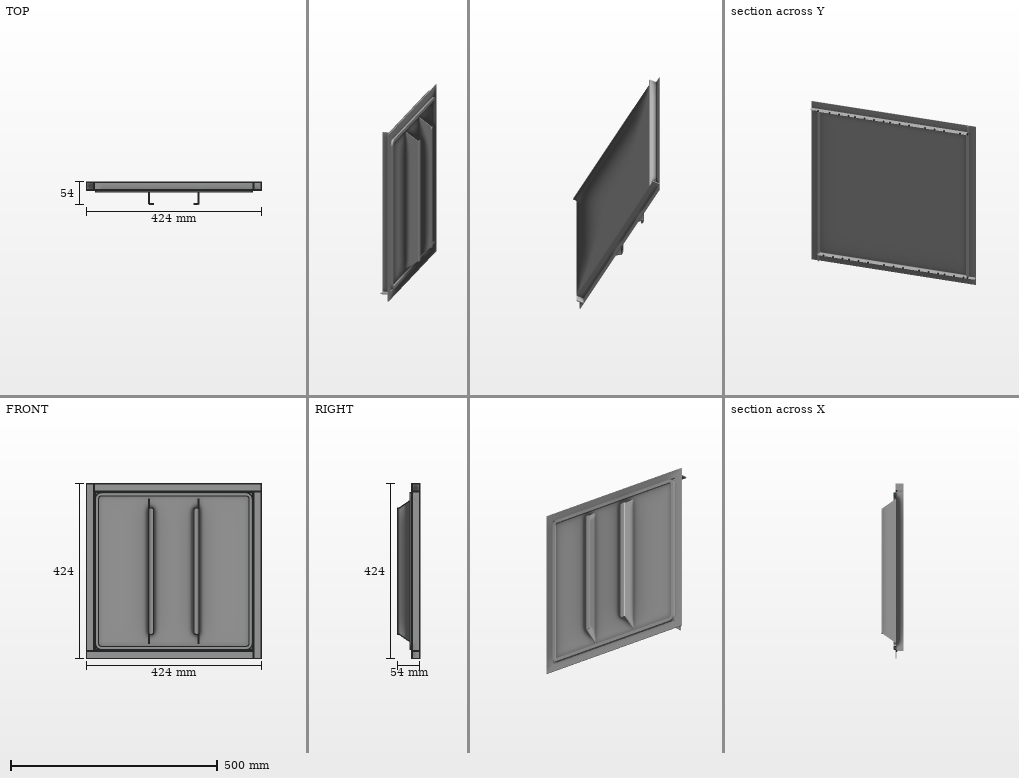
import cadquery as cq

outer_size = 424.0
overall_depth = 54.0
angle_leg = 20.0
flange_thickness = 2.0
leg_thickness = 2.35
relief_depth = 0.2

tray_clearance = 1.05
tray_bend_radius = 1.9
tray_thickness = 1.0
tray_setback = 1.0
back_thickness = 1.0

gasket_clearance = 2.0
gasket_width = 8.0
gasket_projection = 4.2
gasket_outer_radius = 15.0
gasket_inner_radius = 6.5

handle_spacing = 122.0
handle_base_length = 349.0
handle_lip_length = 306.0
handle_lip_width = 12.5
handle_thickness = 2.0
handle_bend_radius = 3.0
handle_end_depth = 4.0
lip_corner_radius = 5.0

half_outer = outer_size / 2
half_opening = half_outer - angle_leg
tray_face = tray_setback
gasket_face = -gasket_projection
handle_face = angle_leg - overall_depth
tray_back = angle_leg - back_thickness


def box(x0, x1, y0, y1, z0, z1):
    """Box between two opposite corners."""
    return cq.Workplane("XY").box(x1 - x0, y1 - y0, z1 - z0, centered=False).translate((x0, y0, z0))


def make_frame_angle():
    """Bottom angle: upright flange in front, leg running back along the opening.

    The right end of the leg is a tab that fits the slot in the left end of the next angle's leg.
    """
    leg_bottom = -half_opening - leg_thickness
    tab_end = half_opening + leg_thickness
    flange = box(-half_outer, half_opening, 0, flange_thickness, -half_outer, -half_opening)
    leg = box(-half_outer, tab_end, flange_thickness, angle_leg, leg_bottom, -half_opening)
    slot = box(leg_bottom, -half_opening, flange_thickness, angle_leg, leg_bottom, -half_opening)
    relief = box(-half_outer, -half_opening, 0, relief_depth, leg_bottom, -half_opening)
    return flange.union(leg).cut(slot).cut(relief)


def make_tray():
    """Folded sheet whose four flanges turn back inside the frame, with open corners."""
    edge = half_opening - tray_clearance
    outer = box(-edge, edge, tray_face, tray_back, -edge, edge)
    outer = outer.faces("<Y").edges().fillet(tray_bend_radius)
    inside = edge - tray_thickness
    hollow = box(-inside, inside, tray_face + tray_thickness, tray_back, -inside, inside)
    hollow = hollow.faces("<Y").edges().fillet(tray_bend_radius - tray_thickness)
    tray = outer.cut(hollow)
    for x in (-edge, edge - tray_bend_radius):
        for z in (-edge, edge - tray_bend_radius):
            relief = box(x, x + tray_bend_radius, tray_face, tray_back, z, z + tray_bend_radius)
            tray = tray.cut(relief)
    return tray


def make_back_panel():
    """Flat sheet closing the back of the opening."""
    return box(-half_opening, half_opening, tray_back, angle_leg, -half_opening, half_opening)


def make_gasket():
    """Square ring with rounded corners on the tray face."""
    outer_side = 2 * (half_opening - gasket_clearance)
    inner_side = outer_side - 2 * gasket_width
    thickness = tray_face - gasket_face
    ring = cq.Workplane("XZ", origin=(0, tray_face, 0)).rect(outer_side, outer_side).extrude(thickness)
    ring = ring.edges("|Y").fillet(gasket_outer_radius)
    hole = cq.Workplane("XZ", origin=(0, tray_face, 0)).rect(inner_side, inner_side).extrude(thickness)
    return ring.cut(hole.edges("|Y").fillet(gasket_inner_radius))


def make_handle():
    """Left handle: web with sloped ends and a lip folded toward the middle."""
    x_outer = -handle_spacing / 2
    x_tip = x_outer + handle_lip_width
    half_base = handle_base_length / 2
    half_lip = handle_lip_length / 2
    lip_back = handle_face + handle_thickness

    profile = (
        cq.Workplane("XY")
        .moveTo(x_outer, tray_face)
        .lineTo(x_outer, handle_face)
        .lineTo(x_tip, handle_face)
        .lineTo(x_tip, lip_back)
        .lineTo(x_outer + handle_thickness, lip_back)
        .lineTo(x_outer + handle_thickness, tray_face)
        .close()
        .extrude(handle_base_length)
        .translate((0, 0, -half_base))
    )
    profile = profile.edges("|Z and <X and <Y").fillet(handle_bend_radius)
    inner_corner = cq.selectors.NearestToPointSelector((x_outer + handle_thickness, lip_back, 0))
    profile = profile.edges("|Z").edges(inner_corner).fillet(handle_bend_radius - handle_thickness)

    slope_end = handle_face + handle_end_depth
    side_outline = (
        cq.Workplane("YZ")
        .polyline([
            (tray_face, -half_base),
            (tray_face, half_base),
            (slope_end, half_lip),
            (handle_face, half_lip),
            (handle_face, -half_lip),
            (slope_end, -half_lip),
        ])
        .close()
        .extrude(handle_lip_width)
        .translate((x_outer, 0, 0))
    )
    handle = profile.intersect(side_outline)
    return handle.edges("|Y and >X").fillet(lip_corner_radius)


frame_angle = make_frame_angle()
frame_angles = [
    frame_angle.rotate((0, 0, 0), (0, 1, 0), quarter * 90)
    for quarter in range(4)
]
left_handle = make_handle()
handles = [left_handle, left_handle.mirror("YZ")]
tray = make_tray()
back_panel = make_back_panel()
gasket = make_gasket()

bodies = [*frame_angles, tray, back_panel, gasket, *handles]
result = cq.Compound.makeCompound([body.solids().val() for body in bodies])